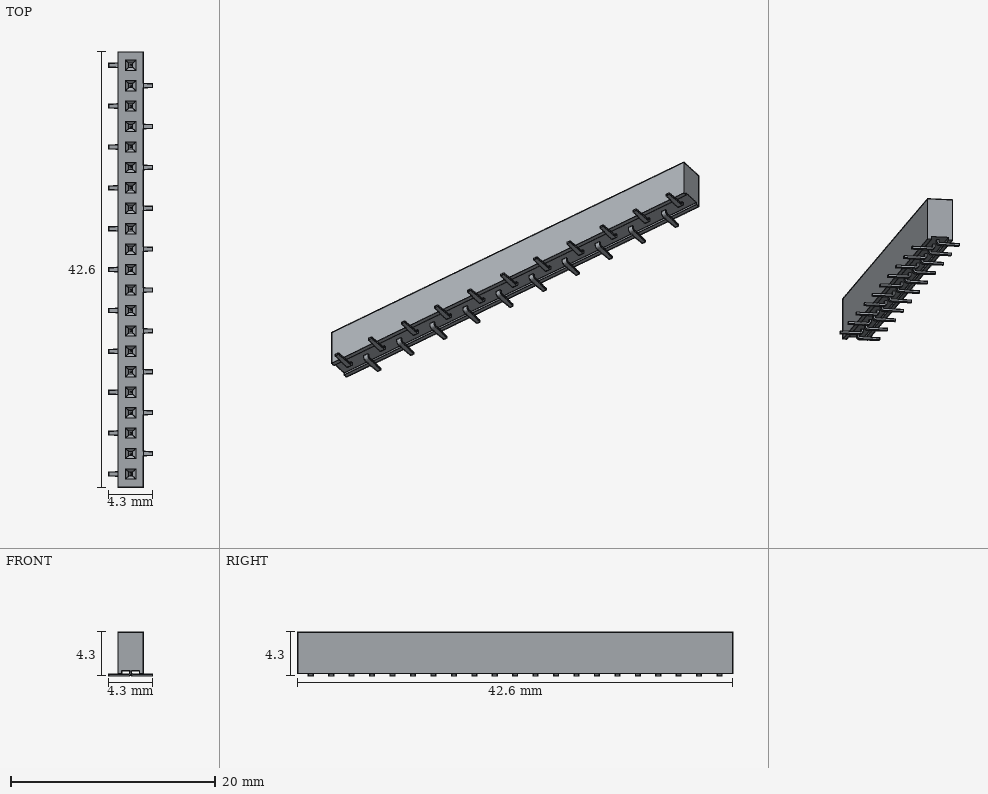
import cadquery as cq

contact_count = 21
pitch = 2.0
row_length = (contact_count - 1) * pitch

overall_height = 4.3
overall_width = 4.3
housing_width = 2.5
end_margin = 1.3
housing_length = row_length + 2 * end_margin
standoff = 0.25

channel_width = 1.7
channel_depth = 0.25
channel_roof = standoff + channel_depth

opening_size = 1.0
throat_size = 0.4
lead_in_depth = (opening_size - throat_size) / 2
throat_depth = 1.0
bore_size = 0.15
bore_depth = 1.0

root_width = 0.5
tip_width = 0.4
taper_start = 1.1
taper_end = 1.75
strip_thickness = 0.2
bend_radius = 0.3
inner_bend_radius = bend_radius - strip_thickness
post_top = 1.0


def box(x_min, x_max, width_y, z_min, z_max):
    """Box between the given X and Z limits, centred on Y."""
    size_x = x_max - x_min
    size_z = z_max - z_min
    return cq.Workplane("XY").box(size_x, width_y, size_z).translate(
        ((x_min + x_max) / 2, 0, (z_min + z_max) / 2)
    )


def make_housing():
    """Long rectangular block with a through channel underneath."""
    block = box(-housing_width / 2, housing_width / 2, housing_length, standoff, overall_height)
    channel = box(-channel_width / 2, channel_width / 2, housing_length, standoff, channel_roof)
    return block.cut(channel)


def make_opening():
    """Pyramidal lead-in, then a square throat with a narrower blind bore in its floor."""
    lead_in_bottom = overall_height - lead_in_depth
    throat_bottom = lead_in_bottom - throat_depth
    bore_bottom = throat_bottom - bore_depth
    lead_in = (
        cq.Workplane("XY", origin=(0, 0, overall_height))
        .rect(opening_size, opening_size)
        .workplane(offset=-lead_in_depth)
        .rect(throat_size, throat_size)
        .loft(ruled=True)
    )
    throat = box(-throat_size / 2, throat_size / 2, throat_size, throat_bottom, lead_in_bottom)
    bore = box(-bore_size / 2, bore_size / 2, bore_size, bore_bottom, throat_bottom)
    return lead_in.union(throat).union(bore)


def make_tail(side):
    """Bent tail: a post into the channel roof and a tapered foot toward side (-1 or +1) in X."""
    post_back = -strip_thickness / 2
    post_front = strip_thickness / 2
    foot_end = overall_width / 2
    profile = (
        cq.Workplane("XZ")
        .moveTo(post_back, post_top)
        .lineTo(post_back, bend_radius)
        .radiusArc((post_back + bend_radius, 0), -bend_radius)
        .lineTo(foot_end, 0)
        .lineTo(foot_end, strip_thickness)
        .lineTo(post_back + bend_radius, strip_thickness)
        .radiusArc((post_front, bend_radius), inner_bend_radius)
        .lineTo(post_front, post_top)
        .close()
        .extrude(root_width / 2, both=True)
    )
    plan = (
        cq.Workplane("XY")
        .moveTo(post_back, -root_width / 2)
        .lineTo(taper_start, -root_width / 2)
        .lineTo(taper_end, -tip_width / 2)
        .lineTo(foot_end, -tip_width / 2)
        .lineTo(foot_end, tip_width / 2)
        .lineTo(taper_end, tip_width / 2)
        .lineTo(taper_start, root_width / 2)
        .lineTo(post_back, root_width / 2)
        .close()
        .extrude(post_top)
    )
    tail = profile.intersect(plan)
    if side < 0:
        tail = tail.mirror("YZ")
    return tail


housing = make_housing()
opening = make_opening()
openings = cq.Workplane("XY")
tails = cq.Workplane("XY")
for index in range(contact_count):
    position = (0, index * pitch - row_length / 2, 0)
    side = -1 if index % 2 == 0 else 1
    openings.add(opening.translate(position))
    tails.add(make_tail(side).translate(position))

result = housing.cut(openings.combine()).union(tails.combine())